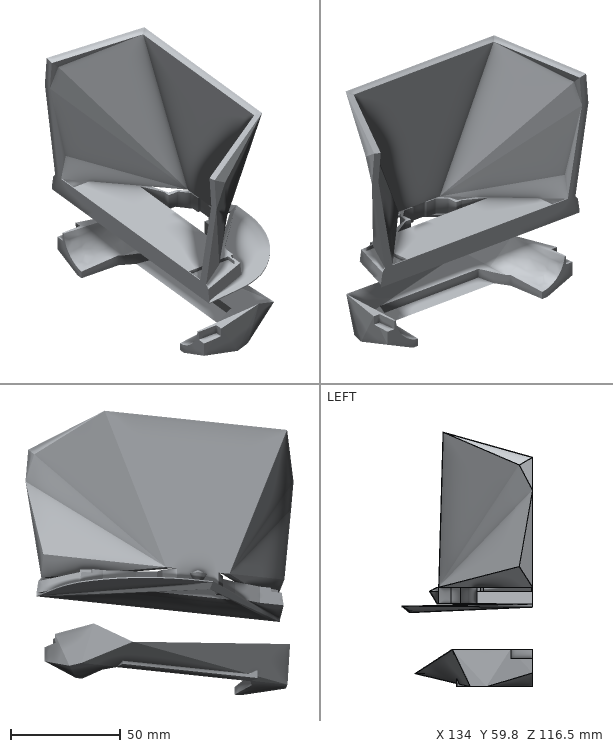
import cadquery as cq
import math

TOTAL_WIDTH = 134.0
TOTAL_DEPTH = 59.83
TOTAL_HEIGHT = 116.51

FRAME_TOP = 45.5
FRAME_LEDGE = 43.7
FRAME_BOTTOM = 37.9
LIP_BOTTOM = 36.4
FRAME_HALF_WIDTH = 61.5


def both_sides(points):
    """Return the points together with their mirror images across X = 0."""
    return points + [(-x, y, z) for x, y, z in points]


def convex_solid(points):
    """Build the convex polyhedron that has the given corner points."""
    corners = [cq.Vector(*p) for p in dict.fromkeys(points)]
    tolerance = 1e-6
    known = set()
    faces = []
    count = len(corners)
    for i in range(count):
        for j in range(i + 1, count):
            for k in range(j + 1, count):
                normal = (corners[j] - corners[i]).cross(corners[k] - corners[i])
                if normal.Length < tolerance:
                    continue
                normal = normal.normalized()
                heights = [(c - corners[i]).dot(normal) for c in corners]
                if min(heights) < -tolerance and max(heights) > tolerance:
                    continue
                on_plane = frozenset(n for n, h in enumerate(heights) if abs(h) <= tolerance)
                if on_plane in known:
                    continue
                known.add(on_plane)
                faces.append(plane_face([corners[n] for n in on_plane], normal))
    shell = cq.Shell.makeShell(faces)
    return cq.Workplane(cq.Solid.makeSolid(shell))


def plane_face(points, normal):
    """Make a flat convex face from unordered points that share a plane."""
    centre = sum(points, cq.Vector(0, 0, 0)) * (1 / len(points))
    along = (points[0] - centre).normalized()
    across = normal.cross(along)

    def angle(point):
        arm = point - centre
        return math.atan2(arm.dot(across), arm.dot(along))

    outline = sorted(points, key=angle)
    return cq.Face.makeFromWires(cq.Wire.makePolygon(outline, close=True))


VISOR_TOP = (46.0, 41.0, TOTAL_HEIGHT)
VISOR_SHOULDER = (65.6, 0, 105.0)
VISOR_WIDEST = (TOTAL_WIDTH / 2, 0, 89.9)
VISOR_FOOT = (59.0, 0, FRAME_TOP)
VISOR_BACK = (16.0, 43.0, FRAME_TOP)
VISOR_UPPER_BULGE = (65.4, 6.1, 101.5)
VISOR_LOWER_BULGE = (60.8, 6.1, 55.0)
RIM_WIDTH = 4.0
TOP_RIM_DEPTH = 2.6
TOP_RIM_DROP = 1.6
SHOULDER_RIM_DROP = 0.8
FOOT_RIM_WIDTH = 4.7
BACK_WALL = 1.5
BACK_RIM_WIDTH = 3.2
INNER_UPPER_BULGE = (61.3, 3.5, 101.0)
INNER_LOWER_BULGE = (55.6, 3.5, 56.0)


def moved(point, dx, dy, dz):
    """Return the point shifted by the given amounts."""
    return (point[0] + dx, point[1] + dy, point[2] + dz)


def mirrored(point):
    """Return the point reflected across X = 0."""
    return (-point[0], point[1], point[2])


def visor_form(top, shoulder, widest, foot, back, upper_bulge, lower_bulge):
    """Solid faceted form whose side facets fan out from its lower back corners."""
    side_facets = [
        (back, top, upper_bulge),
        (back, upper_bulge, widest),
        (back, widest, lower_bulge),
        (back, lower_bulge, foot),
        (top, shoulder, upper_bulge),
        (shoulder, widest, upper_bulge),
        (widest, foot, lower_bulge),
    ]
    facets = side_facets + [tuple(mirrored(p) for p in facet) for facet in side_facets]
    for half_edge in ((top, shoulder), (top, back), (foot, back), (shoulder, widest, foot)):
        facets.append(half_edge + tuple(mirrored(p) for p in reversed(half_edge)))
    faces = []
    for facet in facets:
        outline = cq.Wire.makePolygon([cq.Vector(*p) for p in facet], close=True)
        faces.append(cq.Face.makeFromWires(outline))
    return cq.Workplane(cq.Solid.makeSolid(cq.Shell.makeShell(faces)))


def visor():
    """Faceted face shield, open at the front, the top and the bottom, with a bevelled top rim."""
    inner_top = moved(VISOR_TOP, -TOP_RIM_DEPTH, -TOP_RIM_DEPTH, -TOP_RIM_DROP)
    inner_shoulder = moved(VISOR_SHOULDER, -RIM_WIDTH, 0, -SHOULDER_RIM_DROP)
    outside = visor_form(
        VISOR_TOP,
        VISOR_SHOULDER,
        VISOR_WIDEST,
        VISOR_FOOT,
        VISOR_BACK,
        VISOR_UPPER_BULGE,
        VISOR_LOWER_BULGE,
    )
    inside = visor_form(
        inner_top,
        inner_shoulder,
        moved(VISOR_WIDEST, -RIM_WIDTH, 0, 0),
        moved(VISOR_FOOT, -FOOT_RIM_WIDTH, 0, 0),
        moved(VISOR_BACK, -BACK_RIM_WIDTH, -BACK_WALL, 0),
        INNER_UPPER_BULGE,
        INNER_LOWER_BULGE,
    )
    top_bevel = convex_solid(both_sides([VISOR_TOP, VISOR_SHOULDER, inner_top, inner_shoulder]))
    return outside.cut(inside).cut(top_bevel)


SLAB_DEPTH = 25.4
SLAB_BACK_HALF = 51.5
SLAB_SIDE_DRAFT = 1.0
SLAB_RAISED_HALF = 45.0
SILL_THICKNESS = 0.4
SILL_TOP_HALF = VISOR_FOOT[0]
KEEL_HALF_WIDTH = 57.5
KEEL_BACK_HALF = 39.5
KEEL_DEPTH = 17.0
ARM_OUTLINE = [
    (50.0, 22.5),
    (28.0, 22.5),
    (28.0, 25.4),
    (17.4, 31.6),
    (14.0, 31.6),
    (14.0, 37.0),
    (9.6, 41.0),
    (4.1, 41.0),
    (4.1, 43.1),
    (10.5, 43.1),
    (15.3, 37.4),
    (16.0, 33.0),
    (25.0, 29.5),
]
NUB_RADIUS = 4.1
NUB_FRONT_Y = 42.3
NUB_CENTRE_Y = 43.1
NUB_TOP_RADIUS = 0.6


def frame_slab():
    """Front slab with drafted ends, a raised middle, a front sill and a keel below."""
    ledge_half = FRAME_HALF_WIDTH - SLAB_SIDE_DRAFT
    slab = convex_solid(both_sides([
        (FRAME_HALF_WIDTH, 0, FRAME_BOTTOM),
        (SLAB_BACK_HALF, SLAB_DEPTH, FRAME_BOTTOM),
        (ledge_half, 0, FRAME_LEDGE),
        (SLAB_BACK_HALF - SLAB_SIDE_DRAFT, SLAB_DEPTH, FRAME_LEDGE),
    ]))
    raised = cq.Workplane("XY", origin=(0, SLAB_DEPTH / 2, FRAME_LEDGE)).box(
        2 * SLAB_RAISED_HALF, SLAB_DEPTH, FRAME_TOP - FRAME_LEDGE, centered=(True, True, False)
    )
    sill_ends = []
    for y in (0, SILL_THICKNESS):
        sill_ends += [(ledge_half, y, FRAME_LEDGE), (SILL_TOP_HALF, y, FRAME_TOP)]
    sill = convex_solid(both_sides(sill_ends))
    keel = convex_solid(both_sides([
        (KEEL_HALF_WIDTH, 0, LIP_BOTTOM),
        (KEEL_HALF_WIDTH, 0, FRAME_BOTTOM),
        (KEEL_BACK_HALF, KEEL_DEPTH, FRAME_BOTTOM),
    ]))
    return slab.union(raised).union(sill).union(keel)


def frame_nub():
    """Pointed nub on the back of the frame: a cone below the ledge level and a cap above it."""
    profile = [
        (0, FRAME_BOTTOM),
        (NUB_TOP_RADIUS, FRAME_BOTTOM),
        (NUB_RADIUS, FRAME_LEDGE),
        (NUB_TOP_RADIUS, FRAME_TOP),
        (0, FRAME_TOP),
    ]
    cone = (
        cq.Workplane("XZ", origin=(0, NUB_CENTRE_Y, 0))
        .polyline(profile)
        .close()
        .revolve(360, (0, 0, 0), (0, 1, 0))
    )
    back_half = cq.Workplane("XY", origin=(0, NUB_CENTRE_Y, FRAME_BOTTOM)).box(
        2 * NUB_RADIUS, NUB_RADIUS, FRAME_TOP - FRAME_BOTTOM, centered=(True, False, False)
    )
    bridge = cq.Workplane("XY", origin=(0, NUB_FRONT_Y, FRAME_BOTTOM)).box(
        2 * NUB_RADIUS, NUB_CENTRE_Y - NUB_FRONT_Y, FRAME_TOP - FRAME_BOTTOM,
        centered=(True, False, False),
    )
    return cone.intersect(back_half).union(bridge)


def frame():
    """Slab with two stepped arms that meet at the nub behind an open middle."""
    arm = (
        cq.Workplane("XY", origin=(0, 0, FRAME_BOTTOM))
        .polyline(ARM_OUTLINE)
        .close()
        .extrude(FRAME_TOP - FRAME_BOTTOM)
    )
    return frame_slab().union(arm).union(arm.mirror("YZ")).union(frame_nub())


CHEVRON_INNER_HALF = 57.5
CHEVRON_INNER_TIP_Y = 56.3
CHEVRON_TIP_TOP = 36.9
CHEVRON_TIP_BOTTOM = 33.9
CHEVRON_INNER_TIP_TOP = 34.7
WEB_THICKNESS = 0.5
WEB_FLAT_END = 8.8
WEB_BACK_ARC = [(37.7, 51.5), (55.0, 34.0)]
WEB_SIDE_ARC = [(58.2, 26.0), (59.8, 17.0)]


def chevron():
    """V-shaped strip under the frame, with a thin curved web outside its +X arm."""
    right_arm_corners = [
        (FRAME_HALF_WIDTH, 0, FRAME_BOTTOM),
        (FRAME_HALF_WIDTH, 0, LIP_BOTTOM),
        (CHEVRON_INNER_HALF, 0, FRAME_BOTTOM),
        (CHEVRON_INNER_HALF, 0, LIP_BOTTOM),
        (0, TOTAL_DEPTH, CHEVRON_TIP_TOP),
        (0, CHEVRON_INNER_TIP_Y, CHEVRON_INNER_TIP_TOP),
        (0, CHEVRON_INNER_TIP_Y, CHEVRON_TIP_BOTTOM),
    ]
    arm = convex_solid(right_arm_corners)
    web = (
        cq.Workplane("XY", origin=(0, 0, CHEVRON_TIP_TOP - WEB_THICKNESS))
        .moveTo(0, TOTAL_DEPTH)
        .lineTo(WEB_FLAT_END, TOTAL_DEPTH)
        .threePointArc(*WEB_BACK_ARC)
        .threePointArc(*WEB_SIDE_ARC)
        .lineTo(FRAME_HALF_WIDTH, 0)
        .close()
        .extrude(WEB_THICKNESS)
    )
    return arm.union(arm.mirror("YZ")).union(web)


JAW_TOP = 17.1
JAW_HALF_WIDTH = 57.3
JAW_SIDE_TOP = (56.8, 10.0, JAW_TOP)
JAW_CORNER = (49.5, 36.7, JAW_TOP)
JAW_CHIN = (37.7, 53.8, 6.0)
JAW_SIDE_BOTTOM_Z = 6.3
JAW_FRONT_BOTTOM_HALF = 41.5
JAW_HEEL = (54.6, 21.0, 0)
JAW_BACK = (52.0, 28.5, 0)
FLOOR_Z = 5.8
BAR_FRONT_Y = 27.6
BAR_BACK_Y = 34.8
BAR_HALF_WIDTH = 34.0
RAMP_HEIGHT = 1.5
BACK_WALL_FOOT = (3.8, 43.0, FLOOR_Z)
BOWL_FLOOR_Z = 3.5
BOWL_FLOOR_HALF = 37.5
BOWL_SIDE = (47.3, 7.5)
BOWL_RIM_HALF = 52.3
BOWL_BACK_HALF = 36.2
BOWL_BACK_Y = 33.0
BOWL_BACK_RIM_HALF = 49.8
OPENING_OUTLINE = [(38.4, 0), (37.6, 20.4), (33.8, BAR_FRONT_Y), (30.5, BAR_BACK_Y)]
NOTCH_INNER_HALF = 53.2
NOTCH_DEPTH = JAW_SIDE_TOP[1]
NOTCH_FLOOR_Z = 12.9


def jaw_outside():
    """Faceted outer form, with its chin point on the +X half."""
    sides = both_sides([
        (JAW_HALF_WIDTH, 0, JAW_TOP),
        (JAW_HALF_WIDTH, 0, JAW_SIDE_BOTTOM_Z),
        (JAW_FRONT_BOTTOM_HALF, 0, 0),
        JAW_SIDE_TOP,
        JAW_CORNER,
        JAW_HEEL,
        JAW_BACK,
    ])
    bar = cq.Workplane("XY", origin=(0, BAR_FRONT_Y, 0)).box(
        2 * BAR_HALF_WIDTH, BAR_BACK_Y - BAR_FRONT_Y, BOWL_FLOOR_Z, centered=(True, False, False)
    )
    return convex_solid(sides + [JAW_CHIN]).union(bar)


def jaw_bowl():
    """Hollow between the side blocks: round-sided at the front, straight-sided at the back."""
    front = (
        cq.Workplane("XZ")
        .moveTo(0, BOWL_FLOOR_Z)
        .lineTo(BOWL_FLOOR_HALF, BOWL_FLOOR_Z)
        .threePointArc(BOWL_SIDE, (BOWL_RIM_HALF, JAW_TOP))
        .lineTo(0, JAW_TOP)
        .close()
    )
    half = (
        front.workplane(offset=-BOWL_BACK_Y)
        .moveTo(0, FLOOR_Z)
        .lineTo(BOWL_BACK_HALF, FLOOR_Z)
        .lineTo(BOWL_BACK_RIM_HALF, JAW_TOP)
        .lineTo(0, JAW_TOP)
        .close()
        .loft(ruled=True)
    )
    return half.union(half.mirror("YZ"))


def jaw_back_hollow():
    """Space above the floor in front of the slanted back wall."""
    corner_x, corner_y, corner_z = JAW_CORNER
    chin_x, chin_y, _ = JAW_CHIN
    return convex_solid([
        (-corner_x, corner_y, corner_z),
        (corner_x, corner_y, corner_z),
        JAW_CHIN,
        BACK_WALL_FOOT,
        (-BOWL_BACK_RIM_HALF, BOWL_BACK_Y, JAW_TOP),
        (BOWL_BACK_RIM_HALF, BOWL_BACK_Y, JAW_TOP),
        (-BOWL_BACK_HALF, BOWL_BACK_Y, FLOOR_Z),
        (BOWL_BACK_HALF, BOWL_BACK_Y, FLOOR_Z),
        (chin_x, chin_y, corner_z),
    ])


def jaw_opening():
    """Through opening between the side blocks, with a low ramp at the back up to the chin bar."""
    outline = OPENING_OUTLINE + [(-x, y) for x, y in reversed(OPENING_OUTLINE)]
    opening = cq.Workplane("XY").polyline(outline).close().extrude(JAW_TOP)
    ramp = (
        cq.Workplane("YZ", origin=(-BAR_HALF_WIDTH, 0, 0))
        .polyline([(BAR_FRONT_Y, 0), (BAR_BACK_Y, 0), (BAR_BACK_Y, RAMP_HEIGHT)])
        .close()
        .extrude(2 * BAR_HALF_WIDTH)
    )
    return opening.cut(ramp)


def jaw():
    """Chin guard: two hollowed side blocks joined by a low bar and a slanted back wall."""
    body = jaw_outside().cut(jaw_bowl()).cut(jaw_back_hollow()).cut(jaw_opening())
    notch_width = JAW_HALF_WIDTH - NOTCH_INNER_HALF
    for side in (-1, 1):
        notch_middle = side * (NOTCH_INNER_HALF + notch_width / 2)
        notch = cq.Workplane("XY", origin=(notch_middle, 0, NOTCH_FLOOR_Z)).box(
            notch_width, NOTCH_DEPTH, JAW_TOP - NOTCH_FLOOR_Z, centered=(True, False, False)
        )
        body = body.cut(notch)
    return body


bodies = [visor(), frame(), chevron(), jaw()]
result = cq.Compound.makeCompound([solid for body in bodies for solid in body.solids().vals()])